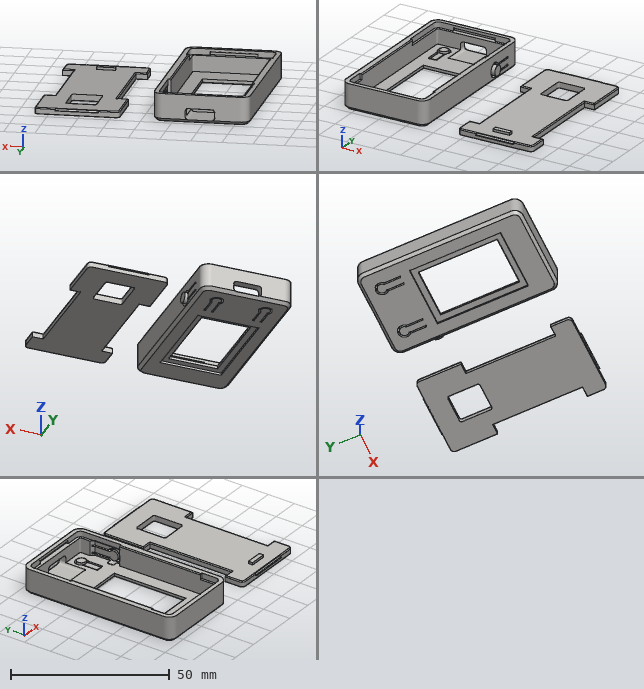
import cadquery as cq

case_width = 30.8
case_length = 57.3
case_height = 9.1
case_corner_radius = 3.0
case_bottom_chamfer = 1.05
floor_top_z = 1.8

rim_width = 1.6
recess_depth = 2.0
recess_corner_radius = 1.65
wall_x = 2.4
wall_y = 2.55
cavity_corner_radius = 0.55
top_recess_length = 16.1
bottom_recess_length = 7.1
rim_chamfer = 0.35

recess_width = case_width - 2 * rim_width
recess_length = case_length - 2 * rim_width
cavity_width = case_width - 2 * wall_x
cavity_length = case_length - 2 * wall_y
ledge_z = case_height - recess_depth
middle_wall_y_min = bottom_recess_length - recess_length / 2
middle_wall_y_max = recess_length / 2 - top_recess_length

window_width = 16.55
window_length = 27.4
window_center_y = -3.9
underside_recess = 0.75
underside_border = 2.1

slit = 0.5
finger_width = 2.15
floor_pad_diameter = 3.2
floor_pad_rise = 0.55
floor_hole_diameter = 4.3
floor_finger_sink = 0.2
floor_pad_spacing = 16.55
floor_pad_y = case_length / 2 - 6.3
floor_finger_length = 7.0

side_button_diameter = 3.6
side_button_height = 1.05
side_button_y = case_length / 2 - 14.55
side_button_z = 3.9
side_hole_diameter = 5.0
side_hole_reach = 1.4
side_finger_length = 7.9
side_pocket_depth = 1.1
side_pocket_end_y = case_length / 2 - 6.3

port_width = 9.45
port_rise = 2.8
port_sink = 0.8
port_corner_radius = 1.1
port_center_x = 0.3
port_end_y = case_length / 2 - 10.15

cover_width = 27.2
cover_length = 53.95
cover_thickness = 2.1
cover_gap = 11.05
cover_waist_width = 19.95
cover_top_length = 15.8
cover_bottom_length = 7.0
cover_corner_radius = 1.4
cover_chamfer = 0.35
cover_center_x = case_width / 2 + cover_gap + cover_width / 2

cover_window_width = 9.9
cover_window_length = 11.2
cover_window_y = 14.5
cover_window_radius = 0.7

stub_width = 6.0
stub_length = 1.6
stub_height = 0.8
stub_y = -22.5

ridge_length = 13.7
ridge_reach = 0.5
ridge_drop = 0.7
groove_length = 15.3
groove_depth = 0.75
groove_height = 1.05


def block(x_min, x_max, y_min, y_max, z_min, z_max):
    size = (x_max - x_min, y_max - y_min, z_max - z_min)
    return cq.Workplane("XY").box(*size, centered=False).translate((x_min, y_min, z_min))


def rounded_block(width, length, z_min, z_max, radius):
    return (
        cq.Workplane("XY", origin=(0, 0, z_min))
        .rect(width, length)
        .extrude(z_max - z_min)
        .edges("|Z")
        .fillet(radius)
    )


def keyhole(head_diameter, stem_width, stem_length, depth):
    """Round head at the origin with a straight stem along -Y, extruded up from Z = 0."""
    head = cq.Workplane("XY").circle(head_diameter / 2).extrude(depth)
    stem = block(-stem_width / 2, stem_width / 2, -stem_length, 0, 0, depth)
    return head.union(stem)


def finger_slit(pad_diameter, hole_diameter, finger_length, depth):
    """Slit that leaves a finger with a round pad, joined only at the far end of the stem."""
    opening = keyhole(hole_diameter, finger_width + 2 * slit, finger_length, depth)
    finger = keyhole(pad_diameter, finger_width, finger_length, depth)
    return opening.cut(finger)


def side_pocket():
    """Thins the +X wall around the side finger, with a 45 degree run-out at the +Y end."""
    x_in = cavity_width / 2
    x_out = x_in + side_pocket_depth
    return (
        cq.Workplane("XY", origin=(0, 0, floor_top_z))
        .moveTo(x_in, side_pocket_end_y)
        .lineTo(x_out, side_pocket_end_y - side_pocket_depth)
        .lineTo(x_out, middle_wall_y_max)
        .lineTo(x_in, middle_wall_y_max)
        .close()
        .extrude(ledge_z - floor_top_z)
    )


def make_shell():
    shell = rounded_block(case_width, case_length, 0, case_height, case_corner_radius)
    shell = shell.faces("<Z").chamfer(case_bottom_chamfer)
    cavity = rounded_block(cavity_width, cavity_length, floor_top_z, case_height, cavity_corner_radius)
    recess = rounded_block(recess_width, recess_length, ledge_z, case_height, recess_corner_radius)
    half = recess_width / 2
    middle = block(-half, half, middle_wall_y_min, middle_wall_y_max, ledge_z, case_height)
    return shell.cut(cavity.union(side_pocket())).cut(recess.cut(middle))


def rim_bevel():
    """Bevel along the inner top edges of the full-thickness side walls."""
    half = cavity_width / 2
    return (
        cq.Workplane("XZ", origin=(0, middle_wall_y_max, 0))
        .moveTo(-half, case_height - rim_chamfer)
        .lineTo(-half - rim_chamfer, case_height)
        .lineTo(half + rim_chamfer, case_height)
        .lineTo(half, case_height - rim_chamfer)
        .close()
        .extrude(middle_wall_y_max - middle_wall_y_min)
    )


def snap_grooves():
    groove = block(
        -groove_length / 2,
        groove_length / 2,
        recess_length / 2,
        recess_length / 2 + groove_depth,
        ledge_z,
        ledge_z + groove_height,
    )
    return groove.union(groove.mirror("XZ"))


def display_window():
    cutter = cq.Workplane("XY").rect(window_width, window_length).extrude(floor_top_z)
    return cutter.translate((0, window_center_y, 0))


def underside_panel():
    """Shallow recess in the underside, around the window only."""
    width = window_width + 2 * underside_border
    length = window_length + 2 * underside_border
    return cq.Workplane("XY").rect(width, length).extrude(underside_recess).translate((0, window_center_y, 0))


def port_opening():
    """Rounded opening through the +Y wall that runs on as a shallow trough in the floor."""
    return (
        cq.Workplane("XZ", origin=(port_center_x, case_length / 2, floor_top_z))
        .center(0, (port_rise - port_sink) / 2)
        .rect(port_width, port_rise + port_sink)
        .extrude(case_length / 2 - port_end_y)
        .edges("|Y")
        .fillet(port_corner_radius)
    )


def add_floor_buttons(case):
    slit_cutter = finger_slit(floor_pad_diameter, floor_hole_diameter, floor_finger_length, floor_top_z)
    finger_top_z = floor_top_z - floor_finger_sink
    sink = block(-finger_width / 2, finger_width / 2, -floor_finger_length, 0, finger_top_z, floor_top_z)
    pad = cq.Workplane("XY").circle(floor_pad_diameter / 2).extrude(floor_top_z + floor_pad_rise)
    for x in (-floor_pad_spacing / 2, floor_pad_spacing / 2):
        place = (x, floor_pad_y, 0)
        case = case.cut(slit_cutter.translate(place)).cut(sink.translate(place)).union(pad.translate(place))
    return case


def add_side_button(case):
    x_start = recess_width / 2 - side_hole_reach
    depth = case_width / 2 - x_start
    cutter = finger_slit(side_button_diameter, side_hole_diameter, side_finger_length, depth)
    cutter = cutter.rotate((0, 0, 0), (0, 0, 1), 180).rotate((0, 0, 0), (0, 1, 0), 90)
    button_start_x = cavity_width / 2 + side_pocket_depth
    button = (
        cq.Workplane("YZ", origin=(button_start_x, side_button_y, side_button_z))
        .circle(side_button_diameter / 2)
        .extrude(wall_x - side_pocket_depth + side_button_height)
    )
    return case.cut(cutter.translate((x_start, side_button_y, side_button_z))).union(button)


def make_case():
    case = make_shell().cut(rim_bevel()).cut(snap_grooves())
    case = case.cut(display_window()).cut(underside_panel()).cut(port_opening())
    return add_side_button(add_floor_buttons(case))


def snap_ridge():
    """Ridge along the +Y end of the cover: 45 degree slope above, flat below."""
    tip_y = cover_length / 2 + ridge_reach
    tip_z = cover_thickness - ridge_drop
    return (
        cq.Workplane("YZ", origin=(-ridge_length / 2, 0, 0))
        .moveTo(tip_y - ridge_drop, cover_thickness)
        .lineTo(tip_y, tip_z)
        .lineTo(tip_y - ridge_drop, tip_z)
        .close()
        .extrude(ridge_length)
    )


def make_cover():
    half_width = cover_width / 2
    half_length = cover_length / 2
    plate = rounded_block(cover_width, cover_length, 0, cover_thickness, cover_corner_radius)
    notch_y_min = cover_bottom_length - half_length
    notch_y_max = half_length - cover_top_length
    notch = block(cover_waist_width / 2, half_width, notch_y_min, notch_y_max, 0, cover_thickness)
    plate = plate.cut(notch).cut(notch.mirror("YZ"))
    plate = plate.faces(">Z").chamfer(cover_chamfer)

    opening = rounded_block(cover_window_width, cover_window_length, 0, cover_thickness, cover_window_radius)
    plate = plate.cut(opening.translate((0, cover_window_y, 0)))

    stub = cq.Workplane("XY").rect(stub_width, stub_length).extrude(cover_thickness + stub_height)
    plate = plate.union(stub.translate((0, stub_y, 0)))

    ridge = snap_ridge()
    plate = plate.union(ridge).union(ridge.mirror("XZ"))
    return plate.translate((cover_center_x, 0, 0))


case = make_case()
cover = make_cover()

result = cq.Compound.makeCompound([case.val(), cover.val()])